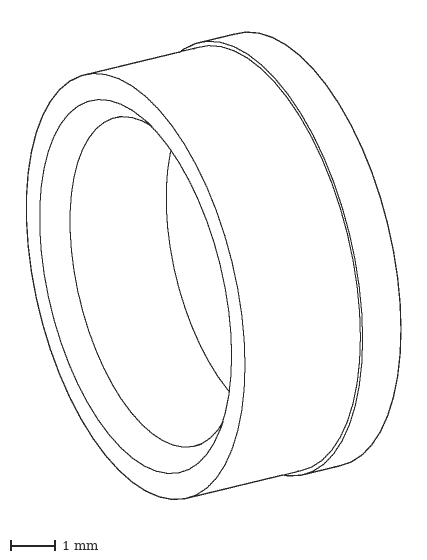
import cadquery as cq

flange_diameter = 10
flange_thickness = 1
body_diameter = 9.8
total_depth = 4
pocket_diameter = 7.6
pocket_depth = 3
mouth_chamfer = 0.5


def disc(diameter, start_y, length):
    """Solid disc about the Y axis, running from start_y toward +Y."""
    plane = cq.Workplane("XZ", origin=(0, start_y, 0))
    return plane.circle(diameter / 2).extrude(-length)


body = disc(body_diameter, 0, total_depth)
flange = disc(flange_diameter, total_depth - flange_thickness, flange_thickness)
pocket = disc(pocket_diameter, 0, pocket_depth)
cup = body.union(flange).cut(pocket)

mouth_edge = cq.selectors.RadiusNthSelector(0)
result = cup.faces("<Y").edges(mouth_edge).chamfer(mouth_chamfer)